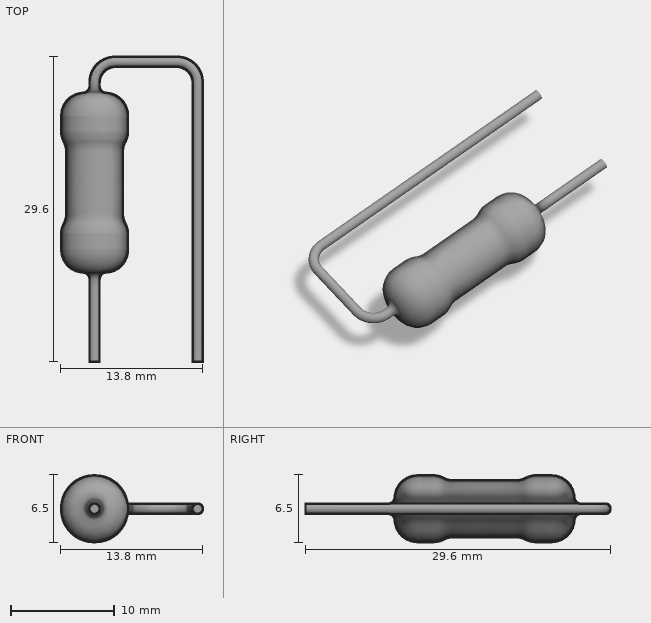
import cadquery as cq
import math

total_length = 29.6
wire_radius = 1.0 / 2
lead_pitch = 10.0
bend_radius = 2.0

cap_radius = 6.5 / 2
waist_radius = 5.55 / 2
body_length = 17.45
body_center = 17.38
cap_rounding = 2.28
cap_straight = 1.48
shoulder_length = 1.9
collar_radius = 0.6

body_end = body_length / 2
cap_outer = body_end - cap_rounding
cap_inner = cap_outer - cap_straight
waist_end = cap_inner - shoulder_length

shoulder_middle = ((cap_radius + waist_radius) / 2, (cap_inner + waist_end) / 2)

rounding_center_radius = cap_radius - cap_rounding
center_offset = wire_radius + collar_radius - rounding_center_radius
center_distance = cap_rounding + collar_radius
center_rise = math.sqrt(center_distance**2 - center_offset**2)
collar_end = cap_outer + center_rise
contact_fraction = cap_rounding / center_distance
collar_contact = (
    rounding_center_radius + center_offset * contact_fraction,
    cap_outer + center_rise * contact_fraction,
)


def make_half_body():
    """Revolve the +Y half of a body centred on the origin: waist, shoulder, cap and collar."""
    return (
        cq.Workplane("XY")
        .lineTo(waist_radius, 0)
        .lineTo(waist_radius, waist_end)
        .tangentArcPoint(shoulder_middle, relative=False)
        .tangentArcPoint((cap_radius, cap_inner), relative=False)
        .lineTo(cap_radius, cap_outer)
        .tangentArcPoint(collar_contact, relative=False)
        .tangentArcPoint((wire_radius, collar_end), relative=False)
        .lineTo(0, collar_end)
        .close()
        .revolve(360, (0, 0, 0), (0, 1, 0))
    )


def make_body():
    """Join two mirrored halves and place the body along the wire."""
    half = make_half_body()
    return half.union(half.mirror("XZ")).translate((0, body_center, 0))


def make_wire():
    """Sweep one wire through the body, over the top and back down."""
    top_run = total_length - wire_radius
    bend_start = top_run - bend_radius
    path = (
        cq.Workplane("XY")
        .lineTo(0, bend_start)
        .tangentArcPoint((bend_radius, top_run), relative=False)
        .lineTo(lead_pitch - bend_radius, top_run)
        .tangentArcPoint((lead_pitch, bend_start), relative=False)
        .lineTo(lead_pitch, 0)
    )
    return cq.Workplane("XZ").circle(wire_radius).sweep(path)


result = make_body().union(make_wire())